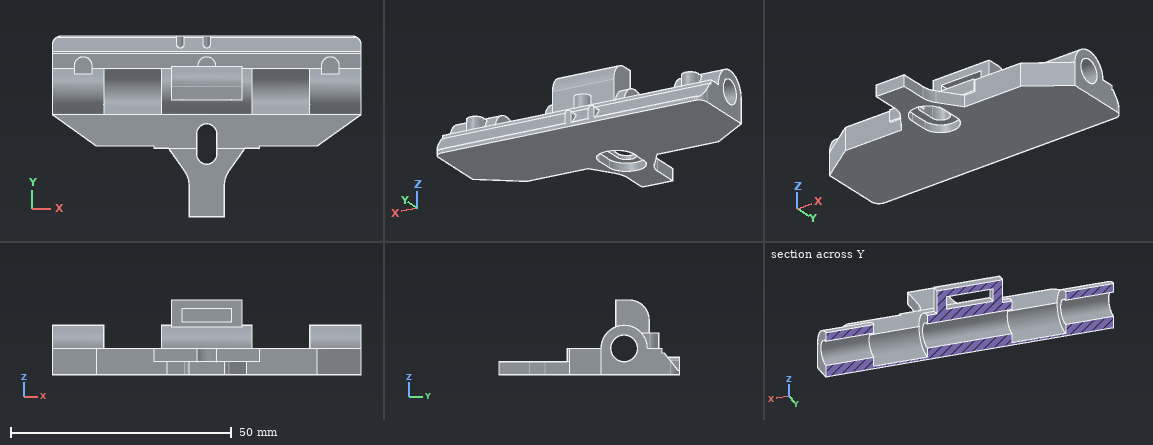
import cadquery as cq

LENGTH = 70.0
HALF_LENGTH = LENGTH / 2
BASE_HEIGHT = 6.0
BACK_Y = 12.6
FRONT_Y = -12.4
BACK_CORNER_RADIUS = 2.1
FRONT_EDGE_HALF = 25.0

RIM_HEIGHT = 1.0
SLOPE_FOOT_Y = 12.2
SLOPE_TOP_Y = 9.1
SLOPE_TOP_Z = 5.0
LEDGE_Y = 8.6

TUBE_RADIUS = 5.25
BORE_RADIUS = 3.0
GAP_INNER_X = 10.3
GAP_OUTER_X = 23.3

LIP_HALF_WIDTH = 12.0
LIP_OVERHANG = 0.5
ARM_THICKNESS = 3.0
ARM_HALF_WIDTH = 4.0
ARM_ROOT_HALF_WIDTH = 9.0
ARM_NECK_Y = -19.5
ARM_TIP_Y = -28.4
ARM_FILLET_RADIUS = 6.0

SLOT_WIDTH = 4.5
SLOT_LENGTH = 9.1
SLOT_CENTER_Y = -11.9
RECESS_MARGIN = 2.25
RECESS_DEPTH = 2.0

CATCH_WIDTH = 16.0
CATCH_TOP = 17.0
CATCH_FRONT_Y = -1.9
CATCH_BACK_Y = 5.7
CATCH_ROUND_RADIUS = 4.6
POCKET_WIDTH = 11.3
POCKET_BOTTOM = 12.0
POCKET_HEIGHT = 3.0
POCKET_DEPTH = 5.0

STOP_SPACING = 28.0
STOP_RADIUS = 2.0
STOP_FRONT_Y = 4.0
STOP_CENTER_Y = 5.85
STOP_TOP = 9.5

RIB_POSITIONS = (-6.0, 0.0)
RIB_RADIUS = 0.8
RIB_TOP = 4.0


def box(x_min, x_max, y_min, y_max, z_min, z_max):
    """Axis-aligned box between the given limits."""
    size = (x_max - x_min, y_max - y_min, z_max - z_min)
    return cq.Workplane("XY").box(*size, centered=False).translate((x_min, y_min, z_min))


def rod(radius, x_min, x_max):
    """Cylinder on the tube axis between two X positions."""
    plane = cq.Workplane("YZ", origin=(x_min, 0, BASE_HEIGHT))
    return plane.circle(radius).extrude(x_max - x_min)


def make_base():
    """Slab with tapered front corners, rounded back corners and a sloped back."""
    outline = [
        (-HALF_LENGTH, BACK_Y),
        (-HALF_LENGTH, -TUBE_RADIUS),
        (-FRONT_EDGE_HALF, FRONT_Y),
        (FRONT_EDGE_HALF, FRONT_Y),
        (HALF_LENGTH, -TUBE_RADIUS),
        (HALF_LENGTH, BACK_Y),
    ]
    slab = cq.Workplane("XY").polyline(outline).close().extrude(BASE_HEIGHT)
    slab = slab.edges("|Z and >Y").fillet(BACK_CORNER_RADIUS)
    profile = [
        (FRONT_Y, 0),
        (BACK_Y, 0),
        (BACK_Y, RIM_HEIGHT),
        (SLOPE_FOOT_Y, RIM_HEIGHT),
        (SLOPE_TOP_Y, SLOPE_TOP_Z),
        (LEDGE_Y, SLOPE_TOP_Z),
        (LEDGE_Y, BASE_HEIGHT),
        (FRONT_Y, BASE_HEIGHT),
    ]
    section = cq.Workplane("YZ").polyline(profile).close().extrude(HALF_LENGTH, both=True)
    return slab.intersect(section)


def make_lip():
    """Shallow overhang along the middle of the front edge, above the arm."""
    lip_y = FRONT_Y - LIP_OVERHANG
    return box(-LIP_HALF_WIDTH, LIP_HALF_WIDTH, lip_y, -TUBE_RADIUS, ARM_THICKNESS, BASE_HEIGHT)


def make_arm():
    """Flat arm that tapers from the front edge to a straight tongue."""
    outline = [
        (-ARM_ROOT_HALF_WIDTH, FRONT_Y),
        (-ARM_HALF_WIDTH, ARM_NECK_Y),
        (-ARM_HALF_WIDTH, ARM_TIP_Y),
        (ARM_HALF_WIDTH, ARM_TIP_Y),
        (ARM_HALF_WIDTH, ARM_NECK_Y),
        (ARM_ROOT_HALF_WIDTH, FRONT_Y),
    ]
    arm = cq.Workplane("XY").polyline(outline).close().extrude(ARM_THICKNESS)
    for x in (-ARM_HALF_WIDTH, ARM_HALF_WIDTH):
        neck_point = (x, ARM_NECK_Y, ARM_THICKNESS / 2)
        neck_edge = arm.edges("|Z").edges(cq.selectors.NearestToPointSelector(neck_point))
        arm = neck_edge.fillet(ARM_FILLET_RADIUS)
    return arm


def make_catch():
    """Block with a rounded back top edge and a blind pocket in its front."""
    half_width = CATCH_WIDTH / 2
    block = box(-half_width, half_width, CATCH_FRONT_Y, CATCH_BACK_Y, BASE_HEIGHT, CATCH_TOP)
    block = block.edges("|X and >Y and >Z").fillet(CATCH_ROUND_RADIUS)
    pocket = box(
        -POCKET_WIDTH / 2, POCKET_WIDTH / 2,
        CATCH_FRONT_Y, CATCH_FRONT_Y + POCKET_DEPTH,
        POCKET_BOTTOM, POCKET_BOTTOM + POCKET_HEIGHT,
    )
    return block.cut(pocket)


def make_stop(x):
    """Upright stop with a flat front and a half-round back."""
    plane = cq.Workplane("XY", origin=(x, 0, BASE_HEIGHT))
    return (
        plane.moveTo(-STOP_RADIUS, STOP_FRONT_Y)
        .lineTo(STOP_RADIUS, STOP_FRONT_Y)
        .lineTo(STOP_RADIUS, STOP_CENTER_Y)
        .threePointArc((0, STOP_CENTER_Y + STOP_RADIUS), (-STOP_RADIUS, STOP_CENTER_Y))
        .close()
        .extrude(STOP_TOP - BASE_HEIGHT)
    )


def make_rib(x):
    """Round-topped rib that runs from the back face into the slope."""
    shoulder = RIB_TOP - RIB_RADIUS
    plane = cq.Workplane("XZ", origin=(x, BACK_Y, 0))
    return (
        plane.moveTo(-RIB_RADIUS, 0)
        .lineTo(RIB_RADIUS, 0)
        .lineTo(RIB_RADIUS, shoulder)
        .threePointArc((0, RIB_TOP), (-RIB_RADIUS, shoulder))
        .close()
        .extrude(BACK_Y - LEDGE_Y)
    )


def make_slot():
    """Vertical round-ended slot cutter with a wider recess at the underside."""
    plane = cq.Workplane("XY").center(0, SLOT_CENTER_Y)
    slot = plane.slot2D(SLOT_LENGTH, SLOT_WIDTH, 90).extrude(BASE_HEIGHT)
    widening = 2 * RECESS_MARGIN
    recess = plane.slot2D(SLOT_LENGTH + widening, SLOT_WIDTH + widening, 90).extrude(RECESS_DEPTH)
    return slot.union(recess)


body = make_base().union(make_lip()).union(make_arm())
body = body.union(rod(TUBE_RADIUS, -HALF_LENGTH, HALF_LENGTH))
for stop_x in (-STOP_SPACING, 0, STOP_SPACING):
    body = body.union(make_stop(stop_x))
for rib_x in RIB_POSITIONS:
    body = body.union(make_rib(rib_x))
body = body.union(make_catch())

body = body.cut(rod(TUBE_RADIUS, -GAP_OUTER_X, -GAP_INNER_X))
body = body.cut(rod(TUBE_RADIUS, GAP_INNER_X, GAP_OUTER_X))
body = body.cut(rod(BORE_RADIUS, -HALF_LENGTH, HALF_LENGTH))
result = body.cut(make_slot())